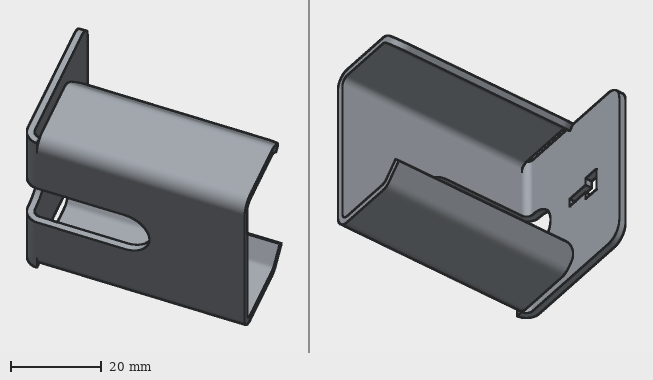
import cadquery as cq
import math

length = 52.5
height = 44.4
flange_depth = 35.5
thickness = 1.75
bend_radius = 3.45
inner_radius = bend_radius - thickness

wall_end = 16.6
lip_angle = 45.0
lip_length = 5.05
lip_corner_radius = 3.45

flange_height = 44.0
flange_corner_radius = 4.1

slot_width = 12.0
slot_end = 30.05
flange_slot_end = 10.0

stem_start = 17.1
head_start = 23.0
head_end = 27.0
head_height = 6.0
stem_height = 2.1

channel_length = length - bend_radius
half_height = height / 2
lip_sin = math.sin(math.radians(lip_angle))
lip_cos = math.cos(math.radians(lip_angle))
half_turn_sin = math.sin(math.radians(45))


def lip_bend_point(radius, angle):
    """(Y, Z) on the upper lip bend, measured from the end of the side wall."""
    turn = math.radians(angle)
    bend_center_z = half_height - bend_radius
    return (wall_end + radius * math.sin(turn), bend_center_z + radius * math.cos(turn))


def along_lip(point, distance):
    return (point[0] + distance * lip_cos, point[1] - distance * lip_sin)


def make_half_channel():
    """Upper half of the channel: half web, bend, side wall, bend and lip."""
    web_bend_z = half_height - bend_radius
    outer_bend_end = lip_bend_point(bend_radius, lip_angle)
    inner_bend_end = lip_bend_point(inner_radius, lip_angle)
    profile = (
        cq.Workplane("YZ", origin=(bend_radius, 0, 0))
        .moveTo(0, 0)
        .lineTo(0, web_bend_z)
        .threePointArc(
            (bend_radius * (1 - half_turn_sin), web_bend_z + bend_radius * half_turn_sin),
            (bend_radius, half_height),
        )
        .lineTo(wall_end, half_height)
        .threePointArc(lip_bend_point(bend_radius, lip_angle / 2), outer_bend_end)
        .lineTo(*along_lip(outer_bend_end, lip_length))
        .lineTo(*along_lip(inner_bend_end, lip_length))
        .lineTo(*inner_bend_end)
        .threePointArc(lip_bend_point(inner_radius, lip_angle / 2), (wall_end, half_height - thickness))
        .lineTo(bend_radius, half_height - thickness)
        .threePointArc(
            (bend_radius - inner_radius * half_turn_sin, web_bend_z + inner_radius * half_turn_sin),
            (thickness, web_bend_z),
        )
        .lineTo(thickness, 0)
        .close()
    )
    return profile.extrude(channel_length)


def round_lip_corners(half_channel, x_positions):
    """Round the lip's free corners at the given X positions."""
    outer_tip = along_lip(lip_bend_point(bend_radius, lip_angle), lip_length)
    inner_tip = along_lip(lip_bend_point(inner_radius, lip_angle), lip_length)
    tip_y = (outer_tip[0] + inner_tip[0]) / 2
    tip_z = (outer_tip[1] + inner_tip[1]) / 2
    for x in x_positions:
        corner = cq.selectors.NearestToPointSelector((x, tip_y, tip_z))
        half_channel = half_channel.edges(corner).fillet(lip_corner_radius)
    return half_channel


def make_flange():
    """End flange with the bend that joins it to the channel web."""
    outer_middle = bend_radius * (1 - half_turn_sin)
    inner_middle = bend_radius - inner_radius * half_turn_sin
    flange = (
        cq.Workplane("XY", origin=(0, 0, -flange_height / 2))
        .moveTo(bend_radius, 0)
        .threePointArc((outer_middle, outer_middle), (0, bend_radius))
        .lineTo(0, flange_depth)
        .lineTo(thickness, flange_depth)
        .lineTo(thickness, bend_radius)
        .threePointArc((inner_middle, inner_middle), (bend_radius, thickness))
        .close()
        .extrude(flange_height)
    )
    return flange.edges("|X and >Y").fillet(flange_corner_radius)


def box_cut(x_range, y_range, z_size):
    return cq.Workplane("XY").box(
        x_range[1] - x_range[0], y_range[1] - y_range[0], z_size, centered=(False, False, True)
    ).translate((x_range[0], y_range[0], 0))


def make_slot_cut():
    """Round-ended slot through the web, continuing around the bend into the flange."""
    slot_radius = slot_width / 2
    web_center_x = slot_end - slot_radius
    flange_center_y = flange_slot_end - slot_radius
    web_end = cq.Workplane("XZ").center(web_center_x, 0).circle(slot_radius).extrude(-thickness)
    flange_end = cq.Workplane("YZ").center(flange_center_y, 0).circle(slot_radius).extrude(thickness)
    web_run = box_cut((0, web_center_x), (0, thickness), slot_width)
    bend_run = box_cut((0, bend_radius), (0, flange_center_y), slot_width)
    return web_run.union(bend_run).union(web_end).union(flange_end)


def make_t_cut():
    stem = box_cut((0, thickness), (stem_start, head_start), stem_height)
    head = box_cut((0, thickness), (head_start, head_end), head_height)
    return stem.union(head)


upper_half = round_lip_corners(make_half_channel(), (bend_radius, length))
lower_half = round_lip_corners(make_half_channel(), (bend_radius,)).mirror("XY")

result = (
    upper_half.union(lower_half)
    .union(make_flange())
    .cut(make_slot_cut())
    .cut(make_t_cut())
    .clean()
)